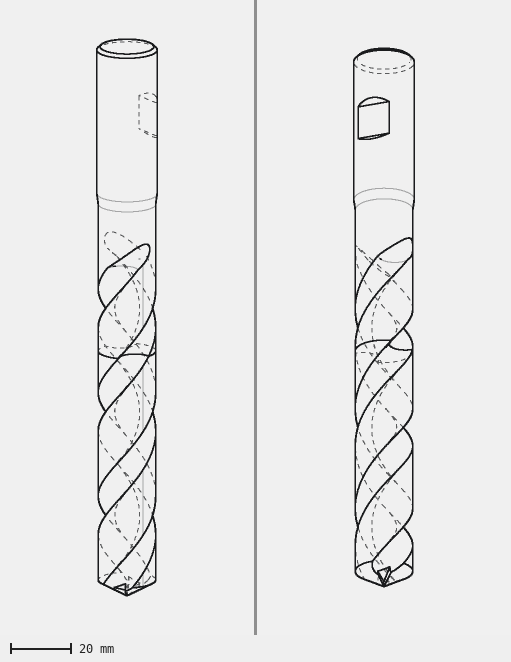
import cadquery as cq
import math

LENGTH = 188.0
SHANK_DIAMETER = 20.0
DRILL_DIAMETER = 19.0
POINT_ANGLE = 120.0

HEAD_TOP = 83.8
TAPER_BOTTOM = 134.2
TAPER_TOP = 137.8
END_CHAMFER = 1.1

FLAT_MIDDLE = 163.0
FLAT_LENGTH = 11.3
FLAT_DEPTH = 1.7

FLUTE_COUNT = 2
FLUTE_LEAD = 70.9
FLUTE_TOP = 114.1
FLUTE_TOP_ANGLE = -44.0
FLUTE_HALF_ANGLE = 33.0
RUNOUT_HEIGHT = 18.8
RUNOUT_RISE_ANGLE = 37.0
RUNOUT_TURN = 2.0

GASH_LIP_ANGLE = -40.0
GASH_LIP_LENGTH = 7.5
GASH_SIDE_LENGTH = 6.5
GASH_AXIS_HEIGHT = 1.9
GASH_SLOPE_X = 0.75
GASH_SLOPE_Y = 0.36

OVERCUT = 1.9

shank_radius = SHANK_DIAMETER / 2
drill_radius = DRILL_DIAMETER / 2
point_height = drill_radius / math.tan(math.radians(POINT_ANGLE / 2))

flute_center_radius = drill_radius
flute_radius = 2 * drill_radius * math.sin(math.radians(FLUTE_HALF_ANGLE / 2))


def make_helical_cutter(bottom, top):
    """Flute cutter that climbs along the helix between two heights."""
    twist = 360 * (top - bottom) / FLUTE_LEAD
    start_angle = 360 * (bottom - FLUTE_TOP) / FLUTE_LEAD
    return (
        cq.Workplane("XY")
        .center(flute_center_radius, 0)
        .circle(flute_radius)
        .center(-flute_center_radius, 0)
        .twistExtrude(top - bottom, twist)
        .rotate((0, 0, 0), (0, 0, 1), start_angle)
        .translate((0, 0, bottom))
    )


def make_runout_cutter():
    """Straight continuation of the flute, turned outwards so that it leaves the drill."""
    run = RUNOUT_HEIGHT / math.tan(math.radians(RUNOUT_RISE_ANGLE))
    turn = math.radians(RUNOUT_TURN)
    path = cq.Vector(run * math.sin(turn), run * math.cos(turn), RUNOUT_HEIGHT)
    section = cq.Wire.makeCircle(
        flute_radius, cq.Vector(flute_center_radius, 0, FLUTE_TOP), cq.Vector(0, 0, 1)
    )
    return cq.Workplane(cq.Solid.extrudeLinear(section, [], path))


def gash_roof_point(x, y):
    """Point of the sloping gash roof above the given X and Y."""
    return (x, y, GASH_AXIS_HEIGHT + GASH_SLOPE_X * x - GASH_SLOPE_Y * y)


def make_gash_cutter():
    """Wedge below the gash roof, between the cutting lip and the plane X = 0."""
    lip = math.radians(GASH_LIP_ANGLE)
    corners = [
        (0, 0),
        (GASH_LIP_LENGTH * math.cos(lip), GASH_LIP_LENGTH * math.sin(lip)),
        (0, -GASH_SIDE_LENGTH),
    ]
    roof = cq.Wire.makePolygon([cq.Vector(*gash_roof_point(x, y)) for x, y in corners], close=True)
    depth = gash_roof_point(*corners[1])[2] + OVERCUT
    return cq.Workplane(cq.Solid.extrudeLinear(roof, [], cq.Vector(0, 0, -depth)))


def cut_around(body, cutter, first_angle):
    """Cut one copy of the cutter for each flute, evenly spaced around the axis."""
    for index in range(FLUTE_COUNT):
        angle = first_angle + index * 360 / FLUTE_COUNT
        body = body.cut(cutter.rotate((0, 0, 0), (0, 0, 1), angle))
    return body


def make_flat_cutter():
    """Trapezoidal notch with 45 degree ends, cut across the shank in X."""
    floor = shank_radius - FLAT_DEPTH
    top = shank_radius + OVERCUT
    half_floor = FLAT_LENGTH / 2
    half_top = half_floor + top - floor
    return (
        cq.Workplane("YZ")
        .polyline([
            (floor, FLAT_MIDDLE - half_floor),
            (top, FLAT_MIDDLE - half_top),
            (top, FLAT_MIDDLE + half_top),
            (floor, FLAT_MIDDLE + half_floor),
        ])
        .close()
        .extrude(shank_radius, both=True)
    )


def make_head():
    """Fluted drill head with its conical, gashed point."""
    blank = (
        cq.Workplane("XZ")
        .polyline([
            (0, 0),
            (drill_radius, point_height),
            (drill_radius, HEAD_TOP),
            (0, HEAD_TOP),
        ])
        .close()
        .revolve(360, (0, 0), (0, 1))
    )
    fluted = cut_around(blank, make_helical_cutter(-OVERCUT, HEAD_TOP + OVERCUT), FLUTE_TOP_ANGLE)
    return cut_around(fluted, make_gash_cutter(), 0)


def make_shank():
    """Shank with the upper part of the flutes and the clamping flat."""
    blank = (
        cq.Workplane("XZ")
        .polyline([
            (0, HEAD_TOP),
            (drill_radius, HEAD_TOP),
            (drill_radius, TAPER_BOTTOM),
            (shank_radius, TAPER_TOP),
            (shank_radius, LENGTH - END_CHAMFER),
            (shank_radius - END_CHAMFER, LENGTH),
            (0, LENGTH),
        ])
        .close()
        .revolve(360, (0, 0), (0, 1))
    )
    fluted = cut_around(blank, make_helical_cutter(HEAD_TOP - OVERCUT, FLUTE_TOP), FLUTE_TOP_ANGLE)
    fluted = cut_around(fluted, make_runout_cutter(), FLUTE_TOP_ANGLE)
    return fluted.cut(make_flat_cutter())


head = make_head()
shank = make_shank()

result = cq.Compound.makeCompound([head.val(), shank.val()])